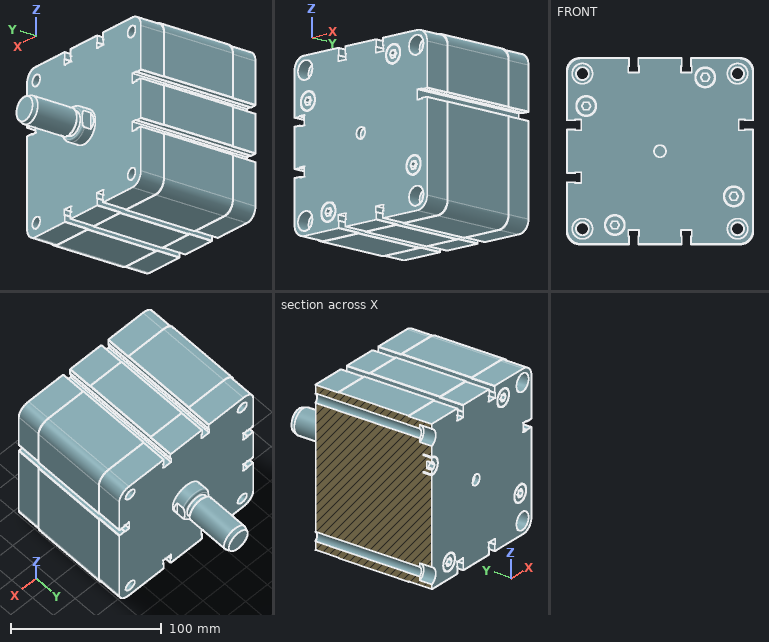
import cadquery as cq
import math

TUBE_SIDE = 124.0
CAP_INSET = 0.4
CAP_SIDE = TUBE_SIDE - 2 * CAP_INSET
CORNER_RADIUS = 9.0
CAP_LENGTH = 19.25
BODY_LENGTH = 96.5
TUBE_LENGTH = BODY_LENGTH - 2 * CAP_LENGTH

SLOT_OFFSET = 17.5
SLOT_NECK_WIDTH = 6.0
SLOT_HEAD_WIDTH = 7.0
SLOT_HEAD_DEPTH = 4.0
SLOT_DEPTH = 9.6
SLOT_MOUTH_CHAMFER = 0.3
SLOTS = [
    (0, -SLOT_OFFSET),
    (0, SLOT_OFFSET),
    (180, -SLOT_OFFSET),
    (180, SLOT_OFFSET),
    (-90, -SLOT_OFFSET),
    (-90, SLOT_OFFSET),
    (90, -SLOT_OFFSET),
]

MOUNT_PITCH = 103.0
MOUNT_HOLE_DIAMETER = 8.38
MOUNT_BORE_DIAMETER = 13.5
MOUNT_BORE_DEPTH = 10.0

SCREW_NEAR = 30.0
SCREW_FAR = 49.0
SCREW_RECESS_DIAMETER = 13.5
SCREW_HEAD_DIAMETER = 12.5
SCREW_RECESS_DEPTH = 7.0
SCREW_SOCKET_FLATS = 5.2
SCREW_SOCKET_DEPTH = 4.0

CENTER_HOLE_DIAMETER = 8.0
CENTER_HOLE_DEPTH = 4.0

ROD_LENGTH = 50.0
ROD_EMBEDDED_LENGTH = CAP_LENGTH / 2
COLLAR_DIAMETER = 25.0
COLLAR_LENGTH = 9.9
COLLAR_EDGE_RADIUS = 1.7
COLLAR_FLATS = 22.0
FLAT_START = 3.0
FLAT_RUNOUT = 1.5
RELIEF_DIAMETER = 17.5
RELIEF_LENGTH = 3.2
THREAD_DIAMETER = 20.0
THREAD_START_LENGTH = 0.5
TIP_CHAMFER_LENGTH = 3.4
TIP_DIAMETER = 17.5


def along_y(start):
    """Workplane at Y = start, drawing in X and Z, extruding toward +Y."""
    return cq.Workplane(cq.Plane(origin=(0, start, 0), xDir=(-1, 0, 0), normal=(0, 1, 0)))


def slot_profile(side):
    """Half outline of a slot opening through the flat face of a bar of the given side."""
    surface = side / 2
    floor = TUBE_SIDE / 2 - SLOT_DEPTH
    shoulder = floor + SLOT_HEAD_DEPTH
    half_neck = SLOT_NECK_WIDTH / 2
    half_head = SLOT_HEAD_WIDTH / 2
    return [
        (0, floor),
        (half_head, floor),
        (half_head, shoulder),
        (half_neck, shoulder),
        (half_neck, surface - SLOT_MOUTH_CHAMFER),
        (half_neck + SLOT_MOUTH_CHAMFER, surface),
        (0, surface),
    ]


def slotted_bar(start, length, side):
    """Rounded square length of the body with all its slots cut."""
    bar = along_y(start).rect(side, side).extrude(length).edges("|Y").fillet(CORNER_RADIUS)
    half_slot = along_y(start).polyline(slot_profile(side)).close().extrude(length)
    slot = half_slot.union(half_slot.mirror("YZ"))
    for angle, offset in SLOTS:
        bar = bar.cut(slot.translate((offset, 0, 0)).rotate((0, 0, 0), (0, 1, 0), angle))
    return bar


def make_body():
    front_cap = slotted_bar(0, CAP_LENGTH, CAP_SIDE)
    tube = slotted_bar(CAP_LENGTH, TUBE_LENGTH, TUBE_SIDE)
    rear_cap = slotted_bar(BODY_LENGTH - CAP_LENGTH, CAP_LENGTH, CAP_SIDE)
    return front_cap.union(tube).union(rear_cap)


def mount_holes():
    centers = along_y(0).rect(MOUNT_PITCH, MOUNT_PITCH, forConstruction=True).vertices()
    through = centers.circle(MOUNT_HOLE_DIAMETER / 2).extrude(BODY_LENGTH)
    bores = centers.circle(MOUNT_BORE_DIAMETER / 2).extrude(MOUNT_BORE_DEPTH)
    return through.union(bores)


def screw_recesses():
    """Clearance pockets with the socket screw heads left standing in them, flush with the cap."""
    points = [
        (SCREW_NEAR, -SCREW_FAR),
        (SCREW_FAR, SCREW_NEAR),
        (-SCREW_NEAR, SCREW_FAR),
        (-SCREW_FAR, -SCREW_NEAR),
    ]
    socket_circumdiameter = SCREW_SOCKET_FLATS / math.cos(math.pi / 6)
    recesses = along_y(0).pushPoints(points).circle(SCREW_RECESS_DIAMETER / 2).extrude(SCREW_RECESS_DEPTH)
    heads = along_y(0).pushPoints(points).circle(SCREW_HEAD_DIAMETER / 2).extrude(SCREW_RECESS_DEPTH)
    sockets = (
        along_y(0)
        .pushPoints(points)
        .polygon(6, socket_circumdiameter)
        .extrude(SCREW_SOCKET_DEPTH)
    )
    return recesses.cut(heads.cut(sockets))


def center_hole():
    return along_y(0).circle(CENTER_HOLE_DIAMETER / 2).extrude(CENTER_HOLE_DEPTH)


def make_rod():
    root = BODY_LENGTH - ROD_EMBEDDED_LENGTH
    collar_end = BODY_LENGTH + COLLAR_LENGTH
    relief_end = collar_end + RELIEF_LENGTH
    tip = BODY_LENGTH + ROD_LENGTH
    collar_radius = COLLAR_DIAMETER / 2
    relief_radius = RELIEF_DIAMETER / 2
    thread_radius = THREAD_DIAMETER / 2
    arc_offset = COLLAR_EDGE_RADIUS * (1 - math.cos(math.pi / 4))
    profile = (
        cq.Workplane("XY")
        .moveTo(0, root)
        .lineTo(collar_radius, root)
        .lineTo(collar_radius, collar_end - COLLAR_EDGE_RADIUS)
        .threePointArc(
            (collar_radius - arc_offset, collar_end - arc_offset),
            (collar_radius - COLLAR_EDGE_RADIUS, collar_end),
        )
        .lineTo(relief_radius, collar_end)
        .lineTo(relief_radius, relief_end)
        .lineTo(thread_radius, relief_end + THREAD_START_LENGTH)
        .lineTo(thread_radius, tip - TIP_CHAMFER_LENGTH)
        .lineTo(TIP_DIAMETER / 2, tip)
        .lineTo(0, tip)
        .close()
    )
    rod = profile.revolve(360, (0, 0, 0), (0, 1, 0))
    for side in (-1, 1):
        rod = rod.cut(flat_cutter(side))
    return rod


def flat_cutter(side):
    """Wrench flat on the collar, with a sloped run-out toward the body."""
    flat_start = BODY_LENGTH + FLAT_START
    collar_end = BODY_LENGTH + COLLAR_LENGTH
    flat_x = side * COLLAR_FLATS / 2
    outer_x = side * COLLAR_DIAMETER / 2
    profile = [
        (flat_x, flat_start),
        (outer_x, flat_start - FLAT_RUNOUT),
        (outer_x, collar_end),
        (flat_x, collar_end),
    ]
    return cq.Workplane("XY").polyline(profile).close().extrude(COLLAR_DIAMETER / 2, both=True)


body = make_body().cut(mount_holes()).cut(screw_recesses()).cut(center_hole())
result = body.union(make_rod())